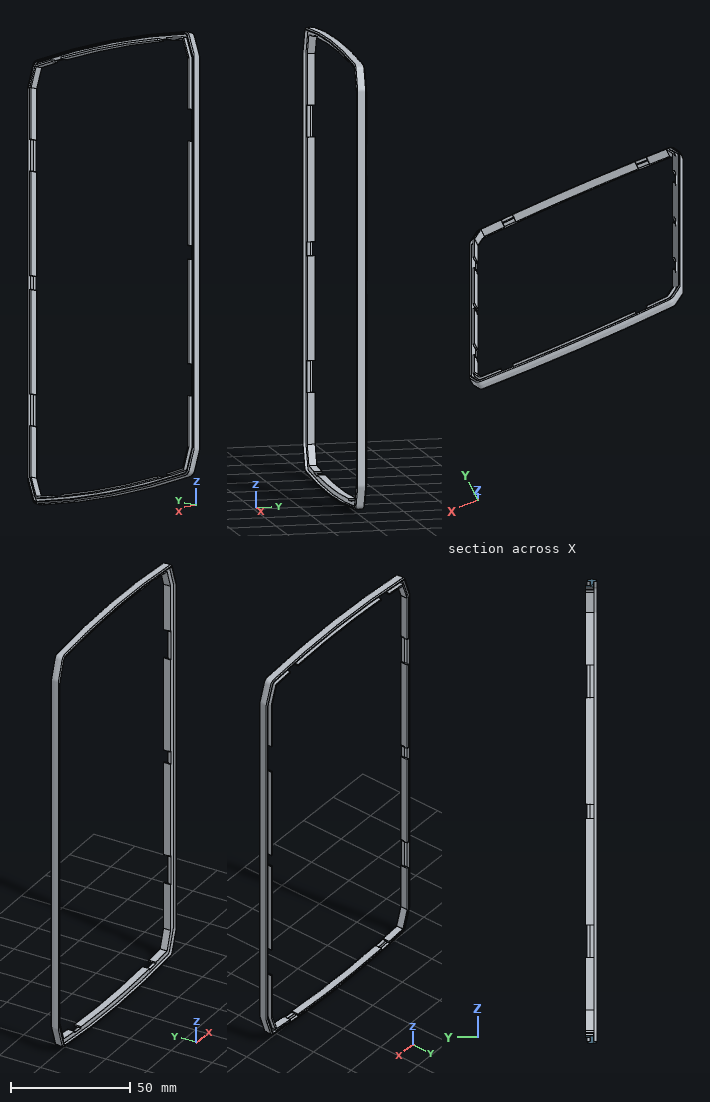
import cadquery as cq
import math

WIDTH = 97.51
HEIGHT = 195.05
DEPTH = 4.83

END_RADIUS = 400.0
SLANT_START_Z = 84.5
SLANT_END_X = 45.2
CORNER_RADIUS = 3.0

LIP_OVERHANG = 0.6
RIM_HALF_DEPTH = (DEPTH - LIP_OVERHANG) / 2
SHOULDER_HALF_DEPTH = 1.7
WEB_HALF_THICKNESS = 0.8
LIP_BACK_Y = RIM_HALF_DEPTH + LIP_OVERHANG

RIDGE_INSET = (0.0, 0.0)
SHOULDER_INSET = (0.15, 0.15)
RIM_FACE_INSET = (0.45, 0.75)
RIM_INNER_INSET = (0.75, 1.1)
WEB_INNER_INSET = (2.6, 2.7)
LIP_OUTER_INSET = (2.3, 2.5)
LIP_INNER_INSET = (3.1, 3.3)

SIDE_NOTCH_LENGTH = 13.6
SIDE_NOTCH_Z = 54.5
MIDDLE_NOTCH_LENGTH = 5.9
END_NOTCH_LENGTH = 5.2
END_NOTCH_X = 30.9

END_CENTRE_Z = HEIGHT / 2 - END_RADIUS


def end_height(x):
    """Height of the upper bowed end at x, on the outermost outline."""
    return END_CENTRE_Z + math.sqrt(END_RADIUS**2 - x**2)


def corner_points(inset):
    """Both ends (x, z) of the slanted edge in the +X, +Z quarter of an inset outline."""
    side_inset, end_inset = inset
    start_x = WIDTH / 2
    slant_x = SLANT_END_X - start_x
    slant_z = end_height(SLANT_END_X) - SLANT_START_Z
    slant_length = math.hypot(slant_x, slant_z)
    ux = slant_x / slant_length
    uz = slant_z / slant_length

    line_x = start_x - end_inset * uz
    line_z = SLANT_START_Z + end_inset * ux

    side_x = start_x - side_inset
    side_z = line_z + (side_x - line_x) * uz / ux

    radius = END_RADIUS - end_inset
    from_centre_z = line_z - END_CENTRE_Z
    along = line_x * ux + from_centre_z * uz
    gap = line_x**2 + from_centre_z**2 - radius**2
    travel = -along + math.sqrt(along**2 - gap)
    return (side_x, side_z), (line_x + travel * ux, line_z + travel * uz)


def outline(inset, y):
    """Closed wire of the inset outline, lying in the plane at y."""
    (side_x, side_z), (end_x, end_z) = corner_points(inset)
    top_z = HEIGHT / 2 - inset[1]
    wire = (
        cq.Workplane("XZ", origin=(0, y, 0))
        .moveTo(side_x, -side_z)
        .lineTo(side_x, side_z)
        .lineTo(end_x, end_z)
        .threePointArc((0, top_z), (-end_x, end_z))
        .lineTo(-side_x, side_z)
        .lineTo(-side_x, -side_z)
        .lineTo(-end_x, -end_z)
        .threePointArc((0, -top_z), (end_x, -end_z))
        .close()
        .val()
    )
    radius = CORNER_RADIUS - inset[1]
    if radius <= 0:
        return wire
    return wire.fillet2D(radius, wire.Vertices())


def layer(front_inset, front_y, back_inset, back_y):
    """Filled slab that blends between two outlines."""
    wires = [outline(front_inset, front_y), outline(back_inset, back_y)]
    return cq.Workplane(cq.Solid.makeLoft(wires, True))


def plate(inset, front_y, back_y):
    """Filled slab with straight walls."""
    return layer(inset, front_y, inset, back_y)


def rim():
    """Outer wall of the frame, ridged at mid depth and bevelled at both faces."""
    return (
        layer(SHOULDER_INSET, -SHOULDER_HALF_DEPTH, RIDGE_INSET, 0)
        .union(layer(RIDGE_INSET, 0, SHOULDER_INSET, SHOULDER_HALF_DEPTH))
        .union(layer(RIM_FACE_INSET, -RIM_HALF_DEPTH, SHOULDER_INSET, -SHOULDER_HALF_DEPTH))
        .union(layer(SHOULDER_INSET, SHOULDER_HALF_DEPTH, RIM_FACE_INSET, RIM_HALF_DEPTH))
        .cut(plate(RIM_INNER_INSET, -DEPTH, DEPTH))
    )


def web():
    """Thin plate that runs inward from the rim at mid depth."""
    slab = plate(RIM_FACE_INSET, -WEB_HALF_THICKNESS, WEB_HALF_THICKNESS)
    return slab.cut(plate(WEB_INNER_INSET, -DEPTH, DEPTH))


def notch_zones():
    """Blocks spanning the frame wherever the lip is interrupted."""

    def block(size_x, size_z, x, z):
        return cq.Workplane("XY").box(size_x, 4 * DEPTH, size_z).translate((x, 0, z))

    zones = block(WIDTH, MIDDLE_NOTCH_LENGTH, 0, 0)
    for sign in (-1, 1):
        zones = zones.union(block(WIDTH, SIDE_NOTCH_LENGTH, 0, sign * SIDE_NOTCH_Z))
        zones = zones.union(block(END_NOTCH_LENGTH, HEIGHT, sign * END_NOTCH_X, 0))
    return zones


def lip():
    """Interrupted wall along the inner edge of the web, standing toward +Y."""
    wall = plate(LIP_OUTER_INSET, -WEB_HALF_THICKNESS, LIP_BACK_Y)
    return wall.cut(plate(LIP_INNER_INSET, -DEPTH, DEPTH)).cut(notch_zones())


result = rim().union(web()).union(lip())